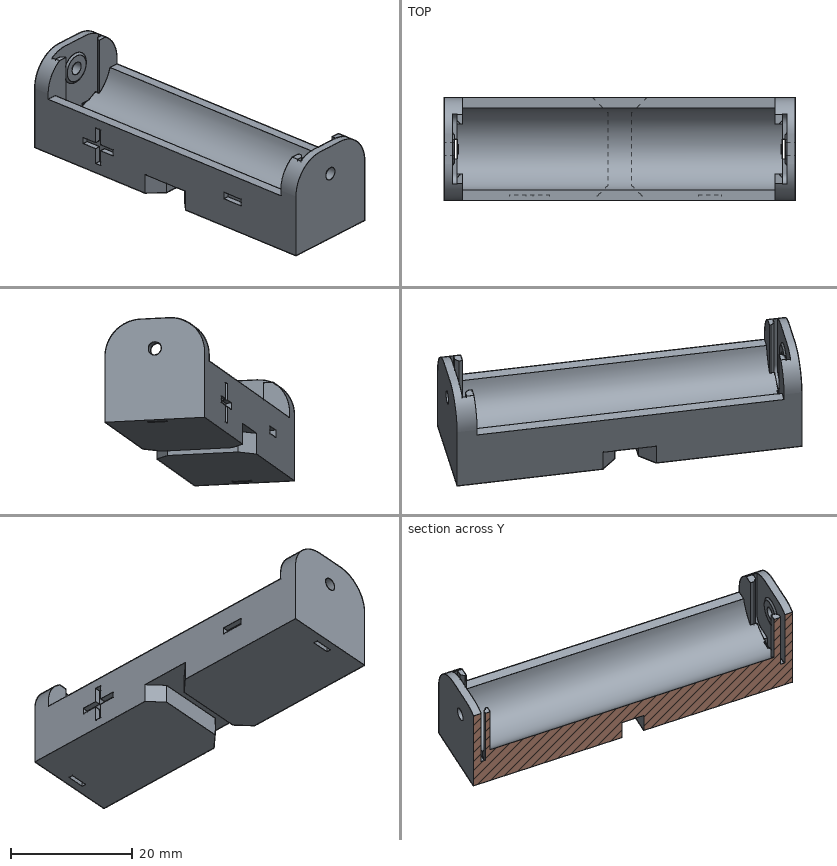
import cadquery as cq
import math

length = 57.85
width = 17.0
height = 17.0
corner_radius = 6.0
mid_x = length / 2

rail_height = 10.0
left_end_thickness = 3.0
right_end_thickness = 3.35
left_inner_end = left_end_thickness
right_inner_end = length - right_end_thickness
cradle_mouth = 13.5
axis_height = 11.95
cradle_radius = math.hypot(cradle_mouth / 2, axis_height - rail_height)

outer_wall = 1.4
pocket_depth = 0.75
pocket_back = outer_wall + pocket_depth
pocket_width = 11.5
pocket_floor = 4.75
window_width = 8.2
pocket_corner = (pocket_width - window_width) / 2
lip_height = 16.1
window_bevel = 0.6
tab_slot_width = 3.25

boss_base_diameter = 5.45
boss_top_diameter = 4.6
boss_height = 0.3
hole_diameter = 2.2

relief_width = 1.55
relief_length = 0.25
relief_drop = 0.2

channel_height = 3.45
channel_mouth = 8.95
channel_throat = 3.95
channel_taper = (channel_mouth - channel_throat) / 2

mark_depth = 1.0
mark_offset = 14.85
plus_span = 6.6
plus_bar = 1.1
plus_height = 5.05
minus_length = 3.8
minus_bar = 1.2
minus_height = 5.65


def block(x_start, x_end, y_size, z_start, z_end):
    """Box centred on Y, given by its X and Z limits."""
    return (
        cq.Workplane("XY")
        .box(x_end - x_start, y_size, z_end - z_start, centered=(False, True, False))
        .translate((x_start, 0, z_start))
    )


def rod(x_start, x_end, radius):
    """Cylinder lying on the battery axis."""
    return (
        cq.Workplane("YZ", origin=(x_start, 0, axis_height))
        .circle(radius)
        .extrude(x_end - x_start)
    )


def flip(shape):
    """Mirror image of a shape at the opposite end of the body."""
    return shape.mirror("YZ", (mid_x, 0, 0))


def body():
    shell = block(0, length, width, 0, height).edges("|X and >Z").fillet(corner_radius)
    opening = block(left_inner_end, right_inner_end, width, rail_height, height)
    cradle = rod(left_inner_end, right_inner_end, cradle_radius)
    return shell.cut(opening).cut(cradle)


def window_bevels():
    """Bevels on the two upright window edges, on the plate side."""
    jamb = window_width / 2
    profile = [
        (pocket_back, jamb),
        (pocket_back, jamb + window_bevel),
        (pocket_back + window_bevel, jamb),
    ]
    bevel = (
        cq.Workplane("XY", origin=(0, 0, pocket_floor))
        .polyline(profile)
        .close()
        .extrude(height - pocket_floor)
    )
    return bevel.union(bevel.mirror("XZ"))


def contact_pocket(end_thickness):
    """Plate pocket at the left end, open upwards and, by a window, towards the battery."""
    plate = block(outer_wall, pocket_back, pocket_width, pocket_floor, height)
    plate = plate.edges("|X and <Z").fillet(pocket_corner)
    tab_slot = block(outer_wall, pocket_back, tab_slot_width, 0, pocket_floor)
    top_trim = block(outer_wall, end_thickness, width, lip_height, height)
    window = block(pocket_back, end_thickness, window_width, axis_height, height)
    cradle_end = rod(pocket_back, end_thickness, cradle_radius).intersect(
        block(pocket_back, end_thickness, window_width, 0, height)
    )
    relief_floor = axis_height - cradle_radius - relief_drop
    relief = block(pocket_back, pocket_back + relief_length, relief_width, relief_floor, axis_height)
    pocket = plate
    for opening in (tab_slot, top_trim, window, window_bevels(), cradle_end, relief):
        pocket = pocket.union(opening)
    return pocket


def rivet_boss():
    """Low cone around the rivet hole on the back of the left pocket."""
    return (
        cq.Workplane("YZ", origin=(outer_wall, 0, axis_height))
        .circle(boss_base_diameter / 2)
        .workplane(offset=boss_height)
        .circle(boss_top_diameter / 2)
        .loft()
    )


def cross_channel():
    """Passage along Y, straight in the middle and flared at both sides."""
    side = width / 2
    neck = side - channel_taper
    half_mouth = channel_mouth / 2
    half_throat = channel_throat / 2
    quarter = [(half_mouth, side), (half_throat, neck)]
    outline = (
        quarter
        + [(x, -y) for x, y in reversed(quarter)]
        + [(-x, -y) for x, y in quarter]
        + [(-x, y) for x, y in reversed(quarter)]
    )
    return cq.Workplane("XY", origin=(mid_x, 0, 0)).polyline(outline).close().extrude(channel_height)


def mark_bar(x, z, x_size, z_size):
    """Shallow rectangular groove in the front side."""
    return (
        cq.Workplane("XZ", origin=(x, -width / 2, z))
        .rect(x_size, z_size)
        .extrude(-mark_depth)
    )


def polarity_marks():
    plus_x = mid_x - mark_offset
    minus_x = mid_x + mark_offset
    plus = mark_bar(plus_x, plus_height, plus_span, plus_bar).union(
        mark_bar(plus_x, plus_height, plus_bar, plus_span)
    )
    return plus.union(mark_bar(minus_x, minus_height, minus_length, minus_bar))


boss = rivet_boss()
rivet_hole = rod(0, outer_wall + boss_height, hole_diameter / 2)

result = (
    body()
    .cut(contact_pocket(left_end_thickness))
    .cut(flip(contact_pocket(right_end_thickness)))
    .union(boss)
    .union(flip(boss))
    .cut(rivet_hole)
    .cut(flip(rivet_hole))
    .cut(cross_channel())
    .cut(polarity_marks())
)